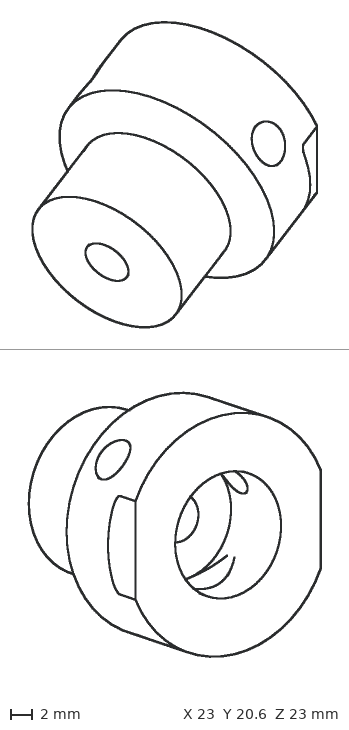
import cadquery as cq

head_diameter = 23
stem_diameter = 16.0
stem_length = 9.0
groove_width = 2.0
head_length = 9.61
bore_diameter = 4.6

chamber_diameter = 12.0
inlet_diameter = 4.0
inlet_count = 3
inlet_offset = 3.98
inlet_from_back = 6.0

flat_spacing = 21.0
flat_length = 3
flat_fillet = 0.5

groove_radius = groove_width / 2
head_radius = head_diameter / 2
stem_radius = stem_diameter / 2
head_front = stem_length + groove_width
back = head_front + head_length
inlet_y = back - inlet_from_back
chamber_depth = inlet_from_back + inlet_diameter / 2


def turned_body():
    """Stem, half-round relief groove and head in one revolved profile."""
    return (
        cq.Workplane("XY")
        .lineTo(stem_radius, 0)
        .lineTo(stem_radius, stem_length)
        .threePointArc(
            (stem_radius - groove_radius, stem_length + groove_radius),
            (stem_radius, head_front),
        )
        .lineTo(head_radius, head_front)
        .lineTo(head_radius, back)
        .lineTo(0, back)
        .close()
        .revolve(360, (0, 0, 0), (0, 1, 0))
    )


def axial_cylinder(diameter, start, length):
    """Cylinder along +Y from the given start."""
    return cq.Workplane(cq.Solid.makeCylinder(
        diameter / 2, length, cq.Vector(0, start, 0), cq.Vector(0, 1, 0)
    ))


def tangential_inlet(angle):
    """Cross hole whose outer side runs almost tangent to the chamber wall."""
    hole = cq.Workplane(cq.Solid.makeCylinder(
        inlet_diameter / 2,
        head_radius,
        cq.Vector(-head_radius, inlet_y, inlet_offset),
        cq.Vector(1, 0, 0),
    ))
    return hole.rotate((0, 0, 0), (0, 1, 0), angle)


def flat_cutter(side):
    """Block that cuts a wrench flat, rounded at its inner front corner."""
    flat_x = flat_spacing / 2
    block = (
        cq.Workplane("XY")
        .box(head_radius, flat_length, head_diameter, centered=(False, False, True))
        .edges("<X and <Y")
        .fillet(flat_fillet)
        .translate((flat_x, back - flat_length, 0))
    )
    return block if side > 0 else block.mirror("YZ")


result = turned_body()
result = result.cut(axial_cylinder(bore_diameter, 0, back))
result = result.cut(axial_cylinder(chamber_diameter, back - chamber_depth, chamber_depth))

for index in range(inlet_count):
    result = result.cut(tangential_inlet(index * 360 / inlet_count))

for side in (-1, 1):
    result = result.cut(flat_cutter(side))